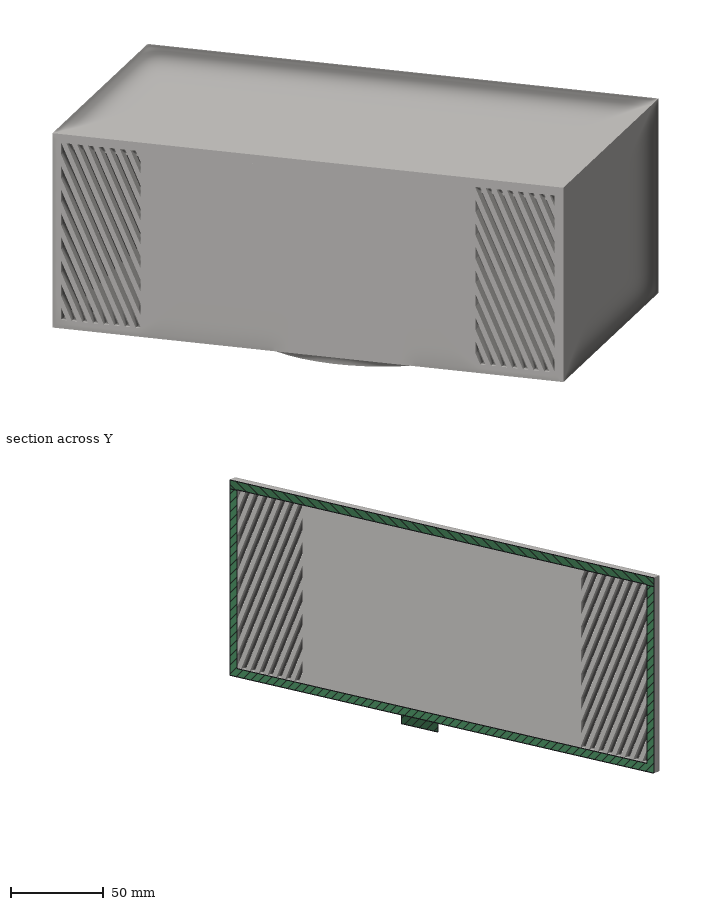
import cadquery as cq
import math

length = 290.0
width = 160.0
height = 115.0
wall = 5.0
lid_thickness = 5.0
foot_height = 5.0
housing_height = height - lid_thickness - foot_height
floor_top = wall
cavity_length = length - 2 * wall
cavity_width = width - 2 * wall
cavity_left = -cavity_length / 2
cavity_right = cavity_length / 2
front = -width / 2

lip_depth = 5.0
lip_clearance = 0.5

foot_diameter = 152.5
foot_offset = 15.5

louvre_width = 45.0
louvre_height = housing_height - floor_top
slot_angle = 24.3
slot_width = 2.75
slot_spacing = 5.5
slot_opening = slot_width / math.cos(math.radians(slot_angle))
slot_pitch = slot_spacing / math.cos(math.radians(slot_angle))
slot_lean = louvre_height * math.tan(math.radians(slot_angle))
left_slot_start = 0.0
right_slot_start = 2.75

block_width = 6.7
block_depth = 6.7
block_height = 5.8
block_side_gap = 5.5
block_front_gap = 9.5


def make_louvre(left_x, slot_start):
    """Cutter for one louvre: slanted slots through the front wall, trimmed to a rectangle."""
    window = cq.Workplane("XY").box(louvre_width, wall, louvre_height, centered=False)
    window = window.translate((left_x, front, floor_top))
    slot_count = math.ceil((louvre_width + slot_lean) / slot_pitch)
    slots = cq.Workplane("XZ", origin=(left_x, front, floor_top))
    for index in range(slot_count):
        x = slot_start + index * slot_pitch
        slots = slots.polyline([
            (x, 0),
            (x + slot_opening, 0),
            (x + slot_opening - slot_lean, louvre_height),
            (x - slot_lean, louvre_height),
        ]).close()
    return slots.extrude(-wall).intersect(window)


def make_block():
    """Small block that rises from the housing floor."""
    block = cq.Workplane("XY").box(block_width, block_depth, floor_top + block_height, centered=False)
    return block.translate((cavity_left + block_side_gap, front + wall + block_front_gap, 0))


def make_housing():
    """Open-topped box with a block on its floor and two louvres in its front wall."""
    housing = cq.Workplane("XY").box(length, width, housing_height, centered=(True, True, False))
    cavity = cq.Workplane("XY").box(
        cavity_length, cavity_width, louvre_height, centered=(True, True, False)
    )
    housing = housing.cut(cavity.translate((0, 0, floor_top)))
    housing = housing.union(make_block())
    housing = housing.cut(make_louvre(cavity_left, left_slot_start))
    return housing.cut(make_louvre(cavity_right - louvre_width, right_slot_start))


def make_lid():
    """Flat lid with a lip that fits inside the top of the housing."""
    plate = cq.Workplane("XY").box(length, width, lid_thickness, centered=(True, True, False))
    lip = cq.Workplane("XY").box(
        cavity_length - 2 * lip_clearance,
        cavity_width - 2 * lip_clearance,
        lip_depth,
        centered=(True, True, False),
    )
    lid = plate.union(lip.translate((0, 0, -lip_depth)))
    return lid.translate((0, 0, housing_height))


def make_foot():
    """Round disc under the housing floor."""
    return cq.Workplane("XY").center(foot_offset, 0).circle(foot_diameter / 2).extrude(-foot_height)


housing = make_housing()
lid = make_lid()
foot = make_foot()

bodies = [housing, lid, foot]
result = cq.Compound.makeCompound([body.solids().val() for body in bodies])